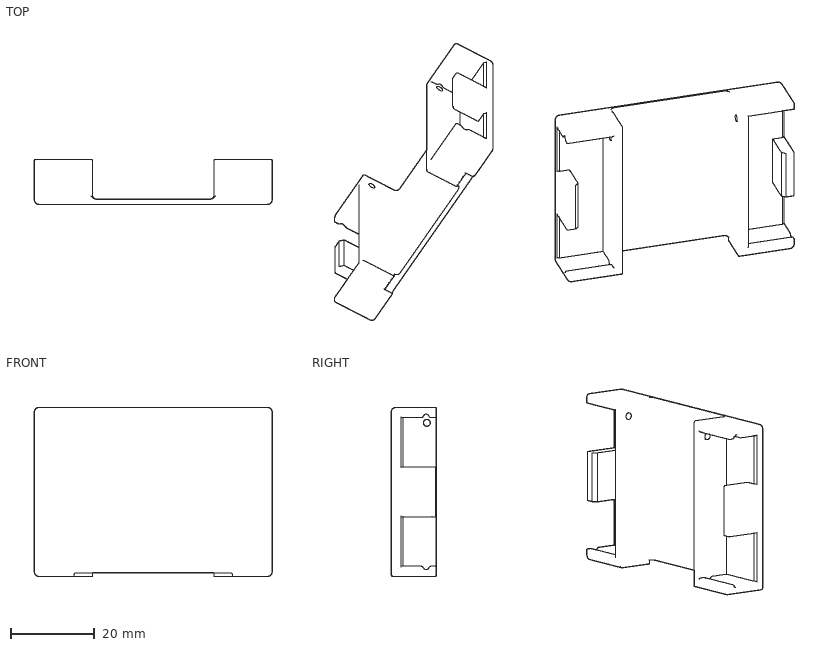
import cadquery as cq
import math

LENGTH = 56.7
DEPTH = 10.8
HEIGHT = 40.3

PLATE_THICKNESS = 1.3
BOX_LENGTH = 13.9
WALL = 2.5
BOX_FLOOR = 2.85

TAB_THICKNESS = 3.0
TAB_HALF_HEIGHT = 5.95
TAB_SETBACK = 0.15
TAB_CORNER = 0.9

SIDE_RADIUS = 1.2
FRONT_BOTTOM_RADIUS = 0.55
BACK_RADIUS = 0.35
BOX_TOP_RADIUS = 0.5
ROOT_RADIUS = 0.95
RIM_RADIUS = 0.15
FLOOR_CHAMFER = 0.5

GROOVE_Y = 2.95
GROOVE_HALF_WIDTH = 1.3
GROOVE_DEPTH = 0.85
HOLE_DIAMETER = 1.6
HOLE_Y = 3.1
HOLE_Z = 16.45

NOTCH_HALF_LENGTH = 18.8
NOTCH_HEIGHT = 0.9
NOTCH_CORNER_RADIUS = 0.45
NOTCH_STEP_RADIUS = 0.3

FRONT = -DEPTH / 2
BACK = DEPTH / 2
END = LENGTH / 2
TOP = HEIGHT / 2
PLATE_BACK = FRONT + PLATE_THICKNESS
BOX_INNER = END - BOX_LENGTH
FLOOR = FRONT + BOX_FLOOR
CAVITY_TOP = TOP - WALL
CAVITY_LENGTH = BOX_LENGTH - WALL
TAB_BACK = BACK - TAB_SETBACK
NOTCH_BACK = PLATE_BACK + ROOT_RADIUS
NOTCH_TOP = NOTCH_HEIGHT - TOP
MARGIN = 0.55
TOLERANCE = 0.005


def block(x0, x1, y0, y1, z0, z1):
    """Axis-aligned box between two corners."""
    return cq.Workplane("XY").box(x1 - x0, y1 - y0, z1 - z0, centered=False).translate((x0, y0, z0))


def nearest(x, y, z):
    """Selector for the edge whose centre is nearest to a point."""
    return cq.selectors.NearestToPointSelector((x, y, z))


def within(x0, x1, y0, y1, z0, z1):
    """Selector for edges whose centre lies inside a box."""
    return cq.selectors.BoxSelector((x0, y0, z0), (x1, y1, z1))


def rounded_blank():
    """Solid envelope with large radii around it and the front bottom edge left sharp."""
    tall = block(-END, END, FRONT, BACK, -TOP - WALL, TOP)
    tall = tall.edges("|Y and >Z").fillet(SIDE_RADIUS)
    tall = tall.faces("<Y").edges("not <Z").fillet(SIDE_RADIUS)
    outline = block(-END, END, FRONT, BACK, -TOP, TOP).edges("|Y").fillet(SIDE_RADIUS)
    return tall.intersect(outline)


def cut_middle(body):
    """Clear the space between the end boxes, round their top edges and blend them into the plate."""
    body = body.cut(block(-BOX_INNER, BOX_INNER, PLATE_BACK, BACK, -TOP, TOP))
    for x in (-BOX_INNER, BOX_INNER):
        body = body.edges(nearest(x, 0, TOP)).fillet(BOX_TOP_RADIUS)
    for x in (-BOX_INNER, BOX_INNER):
        body = body.edges(nearest(x, PLATE_BACK, 0)).fillet(ROOT_RADIUS)
    return body


def cut_notch(body):
    """Shallow notch under the plate, rounded together with the front bottom edge."""
    notch = block(-NOTCH_HALF_LENGTH, NOTCH_HALF_LENGTH, FRONT, NOTCH_BACK, -TOP, NOTCH_TOP)
    notch = notch.edges("|Y and >Z").fillet(NOTCH_CORNER_RADIUS)
    body = body.cut(notch)
    front_bottom = within(
        MARGIN - END, END - MARGIN, FRONT - MARGIN, FRONT + MARGIN, -TOP - MARGIN, NOTCH_TOP + MARGIN
    )
    body = body.faces("<Y").edges(front_bottom).fillet(FRONT_BOTTOM_RADIUS)
    step_middle = (BOX_INNER + NOTCH_HALF_LENGTH) / 2
    for x in (-step_middle, step_middle):
        body = body.edges(nearest(x, NOTCH_BACK, -TOP)).fillet(NOTCH_STEP_RADIUS)
    return body


def cavity_profile():
    """YZ outline of the box cavity, open at the back, with an S-curved groove in each wall."""
    radius = (GROOVE_HALF_WIDTH**2 + GROOVE_DEPTH**2) / (4 * GROOVE_DEPTH)
    half_sweep = math.atan(GROOVE_DEPTH / GROOVE_HALF_WIDTH)
    arc_y = radius * math.sin(half_sweep)
    arc_z = radius * (1 - math.cos(half_sweep))
    crest = CAVITY_TOP + GROOVE_DEPTH

    def flank(side):
        """Start, middle and end of the convex shoulder arc on one side of the groove."""
        start = (GROOVE_Y + side * GROOVE_HALF_WIDTH, CAVITY_TOP)
        shoulder = (GROOVE_Y + side * (GROOVE_HALF_WIDTH - arc_y), CAVITY_TOP + arc_z)
        turn = (GROOVE_Y + side * GROOVE_HALF_WIDTH / 2, CAVITY_TOP + GROOVE_DEPTH / 2)
        return start, shoulder, turn

    near_start, near_shoulder, near_turn = flank(-1)
    far_start, far_shoulder, far_turn = flank(1)
    return (
        cq.Workplane("YZ")
        .moveTo(FLOOR, 0)
        .lineTo(FLOOR, CAVITY_TOP)
        .lineTo(*near_start)
        .threePointArc(near_shoulder, near_turn)
        .threePointArc((GROOVE_Y, crest), far_turn)
        .threePointArc(far_shoulder, far_start)
        .lineTo(BACK, CAVITY_TOP)
        .lineTo(BACK, 0)
        .mirrorX()
    )


def end_cavity():
    """Cavity of the -X box, leaving the tab standing in the middle of the end wall."""
    cavity = cavity_profile().extrude(CAVITY_LENGTH).translate((-END, 0, 0))
    tab = block(-END, TAB_THICKNESS - END, FLOOR, TAB_BACK, -TAB_HALF_HEIGHT, TAB_HALF_HEIGHT)
    tab = tab.edges(">X and >Y").chamfer(TAB_CORNER)
    return cavity.cut(tab)


def finish_openings(body, end_x):
    """Break the outer edges of the two openings and the tab in one end wall."""
    window_middle = (CAVITY_TOP + TAB_HALF_HEIGHT) / 2
    side_middle = (FLOOR + BACK) / 2
    for side in (-1, 1):
        body = body.edges(nearest(end_x, FLOOR, side * window_middle)).chamfer(FLOOR_CHAMFER)
    body = body.edges(nearest(end_x, TAB_BACK, 0)).fillet(BACK_RADIUS)
    for side in (-1, 1):
        wall_inner = side * (CAVITY_TOP - TOLERANCE)
        wall_outer = side * (CAVITY_TOP + GROOVE_DEPTH + TOLERANCE)
        low, high = sorted((wall_inner, wall_outer))
        wall_rim = within(end_x - TOLERANCE, end_x + TOLERANCE, FLOOR, BACK - BACK_RADIUS, low, high)
        body = body.edges(wall_rim).fillet(RIM_RADIUS)
        body = body.edges(nearest(end_x, side_middle, side * TAB_HALF_HEIGHT)).fillet(RIM_RADIUS)
    return body


cavity = end_cavity()
hole_plane = cq.Workplane("YZ", origin=(-END, HOLE_Y, HOLE_Z))
hole = hole_plane.circle(HOLE_DIAMETER / 2).extrude(LENGTH)

body = cut_notch(cut_middle(rounded_blank()))
body = body.cut(cavity).cut(cavity.mirror("YZ")).cut(hole)
body = body.faces(">Y").edges().fillet(BACK_RADIUS)
for end_x in (-END, END):
    body = finish_openings(body, end_x)

result = body